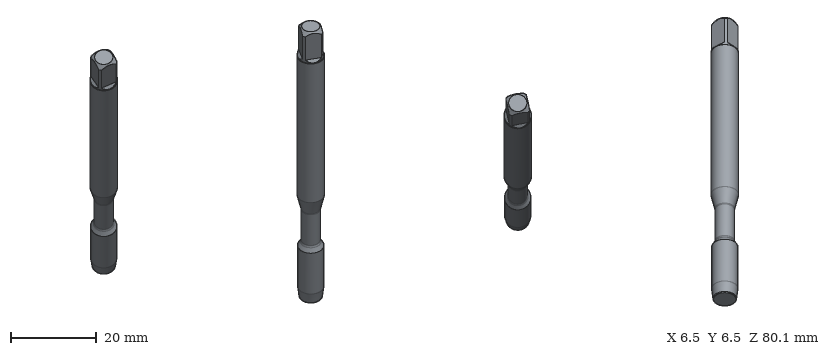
import cadquery as cq
import math

total_length = 80.1
thread_length = 15.1
lead_length = 3.05
neck_bottom = 16.8
neck_top = 25.95
shank_bottom = 30.3
shank_top = 71.5
flat_bottom = 72.25

thread_diameter = 6.2
lead_diameter = 5.5
tip_diameter = 5.2
neck_diameter = 4.6
shank_diameter = 6.5
drive_diameter = 6.25
drive_end_diameter = 4.25

across_flats = 4.9
neck_blend_radius = 1.1
tip_chamfer = 0.25
flat_count = 4


def make_thread():
    """Threaded cutting end: a plain cylinder with a tapered lead."""
    return (
        cq.Workplane("XZ")
        .lineTo(tip_diameter / 2, 0)
        .lineTo(lead_diameter / 2, tip_chamfer)
        .lineTo(thread_diameter / 2, lead_length)
        .lineTo(thread_diameter / 2, thread_length)
        .lineTo(0, thread_length)
        .close()
        .revolve()
    )


def blend_arc(cone_radius, neck_end, cone_end):
    """Middle and end of an arc that joins the neck smoothly to a cone.

    The arc starts at the height neck_end. The cone reaches cone_radius at the height cone_end.
    """
    neck_radius = neck_diameter / 2
    height = abs(cone_end - neck_end)
    direction = math.copysign(1, cone_end - neck_end)
    centre_offset = cone_radius - neck_radius - neck_blend_radius
    centre_distance = math.hypot(centre_offset, height)
    cone_angle = math.atan2(centre_offset, height) + math.asin(neck_blend_radius / centre_distance)

    def arc_point(angle):
        return (
            neck_radius + neck_blend_radius * (1 - math.cos(angle)),
            neck_end + direction * neck_blend_radius * math.sin(angle),
        )

    return arc_point(cone_angle / 2), arc_point(cone_angle)


def make_round_shank():
    """Turned shape of the shank, from the thread shoulder to the drive end."""
    neck_radius = neck_diameter / 2
    thread_radius = thread_diameter / 2
    shank_radius = shank_diameter / 2
    drive_radius = drive_diameter / 2
    end_radius = drive_end_diameter / 2
    edge_chamfer = shank_radius - drive_radius
    end_chamfer = drive_radius - end_radius

    shoulder_middle, shoulder_start = blend_arc(thread_radius, neck_bottom, thread_length)
    taper_middle, taper_start = blend_arc(shank_radius, neck_top, shank_bottom)

    return (
        cq.Workplane("XZ")
        .moveTo(0, thread_length)
        .lineTo(thread_radius, thread_length)
        .lineTo(*shoulder_start)
        .threePointArc(shoulder_middle, (neck_radius, neck_bottom))
        .lineTo(neck_radius, neck_top)
        .threePointArc(taper_middle, taper_start)
        .lineTo(shank_radius, shank_bottom)
        .lineTo(shank_radius, shank_top - edge_chamfer)
        .lineTo(drive_radius, shank_top)
        .lineTo(drive_radius, total_length - end_chamfer)
        .lineTo(end_radius, total_length)
        .lineTo(0, total_length)
        .close()
        .revolve()
    )


def make_flat_cutter():
    """Cutter for the flat on the +X side, with a 45 degree run-out below it."""
    flat_distance = across_flats / 2
    reach = shank_diameter
    return (
        cq.Workplane("XZ")
        .moveTo(flat_distance, flat_bottom)
        .lineTo(reach, flat_bottom - (reach - flat_distance))
        .lineTo(reach, total_length)
        .lineTo(flat_distance, total_length)
        .close()
        .extrude(shank_diameter / 2, both=True)
    )


def make_shank():
    """Shank with the four flats of the driving square."""
    shank = make_round_shank()
    cutter = make_flat_cutter()
    for index in range(flat_count):
        angle = index * 360 / flat_count
        shank = shank.cut(cutter.rotate((0, 0, 0), (0, 0, 1), angle))
    return shank


thread = make_thread()
shank = make_shank()

result = cq.Compound.makeCompound([thread.val(), shank.val()])